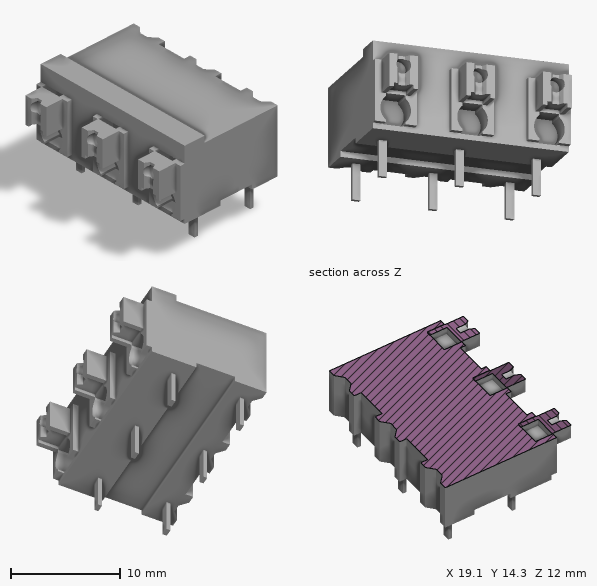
import cadquery as cq

housing_width = 19.13
pitch = 7.5
pole_centers = [-pitch, 0.0, pitch]
pad_width = housing_width - 2 * pitch

housing_height = 8.5
ridge_rise = 0.77
foot_height = 0.55
deck_height = housing_height - ridge_rise

ridge_depth = 2.5
front_face = -11.73
ridge_back = front_face + ridge_depth
recess_back = -3.21
recess_front = -7.2

rear_pad_depth = 0.77
rear_notch_mouth = 2.47
rear_notch_floor = 0.94
rear_notch_depth = 0.69

front_pad_depth = 0.55
pad_face = front_face - front_pad_depth
pocket_depth = 1.35
pocket_back = front_face + pocket_depth

button_width = 2.8
button_top = 6.55
button_bottom = 3.35
button_reach = 2.03
button_front = pad_face - button_reach
groove_mouth = 1.19
groove_floor = 0.63
groove_depth = 0.5
bore_radius = 0.7
bore_height = 5.57
bore_depth = 0.95
gap_lead = 0.48
gap_front = front_face - gap_lead
gap_depth = 2.37
arm_width = 0.48
button_notch_height = 0.36

entry_radius = 1.5
entry_height = 1.91
entry_floor = 0.5
entry_slot_width = 1.91
entry_offset = -0.04

pin_width = 0.78
pin_thickness = 0.4
pin_length = 3.5
rear_pin_y = -1.68
pin_row_spacing = 7.0
pin_rows = [rear_pin_y, rear_pin_y - pin_row_spacing]


def block(x_range, y_range, z_range):
    """Axis-aligned box between the given limits."""
    size = [high - low for low, high in (x_range, y_range, z_range)]
    return cq.Workplane("XY").box(*size, centered=False).translate((x_range[0], y_range[0], z_range[0]))


def centered_block(x, width, y_range, z_range):
    """Axis-aligned box centred on x."""
    return block((x - width / 2, x + width / 2), y_range, z_range)


def tapered_channel(x, mouth_y, floor_y, mouth, floor, z_range):
    """Upright channel that narrows from its mouth to its flat floor."""
    outline = [
        (x - mouth / 2, mouth_y),
        (x - floor / 2, floor_y),
        (x + floor / 2, floor_y),
        (x + mouth / 2, mouth_y),
    ]
    channel = cq.Workplane("XY").polyline(outline).close().extrude(z_range[1] - z_range[0])
    return channel.translate((0, 0, z_range[0]))


def round_bore(x, z, radius, front_y, depth):
    """Cylinder that runs from front_y toward +Y."""
    return cq.Workplane("XZ", origin=(x, front_y, z)).circle(radius).extrude(-depth)


def make_housing_core():
    """Main block with its front ridge and the recess across its underside."""
    profile = [
        (-rear_pad_depth, 0),
        (-rear_pad_depth, deck_height),
        (ridge_back, deck_height),
        (ridge_back, housing_height),
        (front_face, housing_height),
        (front_face, 0),
        (recess_front, 0),
        (recess_front, foot_height),
        (recess_back, foot_height),
        (recess_back, 0),
    ]
    core = cq.Workplane("YZ").polyline(profile).close().extrude(housing_width)
    return core.translate((-housing_width / 2, 0, 0))


def make_rear_pad(x):
    height = (0, deck_height)
    pad = centered_block(x, pad_width, (-rear_pad_depth, 0), height)
    notch = tapered_channel(x, 0, -rear_notch_depth, rear_notch_mouth, rear_notch_floor, height)
    return pad.cut(notch)


def make_front_pad(x):
    return centered_block(x, pad_width, (pad_face, front_face), (foot_height, button_top))


def make_front_opening(x):
    """Button pocket and, below it, the round wire entry with its flat floor."""
    depth_range = (pad_face, pocket_back)
    entry_levels = (entry_floor, button_bottom)
    entry_x = x + entry_offset
    pocket = centered_block(x, button_width, depth_range, (button_bottom, button_top))
    bore = round_bore(entry_x, entry_height, entry_radius, pad_face, pocket_back - pad_face)
    entry = bore.intersect(centered_block(entry_x, 2 * entry_radius, depth_range, entry_levels))
    slot = centered_block(entry_x, entry_slot_width, depth_range, entry_levels)
    return pocket.union(entry).union(slot)


def make_housing():
    housing = make_housing_core()
    for x in pole_centers:
        housing = housing.union(make_rear_pad(x)).union(make_front_pad(x))
    for x in pole_centers:
        housing = housing.cut(make_front_opening(x))
    return housing


def make_button(x):
    """Push button that fills its pocket apart from a gap behind the head."""
    height = (button_bottom, button_top)
    left = x - button_width / 2
    right = x + button_width / 2
    button = block((left, right), (button_front, pocket_back), height)

    groove_back = button_front + groove_depth
    groove = tapered_channel(x, button_front, groove_back, groove_mouth, groove_floor, height)
    bore = round_bore(x, bore_height, bore_radius, button_front, groove_depth + bore_depth)

    gap = block((left, right - arm_width), (gap_front, pocket_back), (button_top - gap_depth, button_top))

    notch_top = button_bottom + button_notch_height
    wire_notch = centered_block(x, entry_slot_width, (button_front, pad_face), (button_bottom, notch_top))
    return button.cut(groove).cut(bore).cut(gap).cut(wire_notch)


def make_pin(x, y):
    thickness_range = (y - pin_thickness / 2, y + pin_thickness / 2)
    return centered_block(x, pin_width, thickness_range, (-pin_length, 0))


housing = make_housing()
buttons = [make_button(x) for x in pole_centers]
pins = [make_pin(x, y) for x in pole_centers for y in pin_rows]

result = cq.Compound.makeCompound([body.val() for body in [housing, *buttons, *pins]])